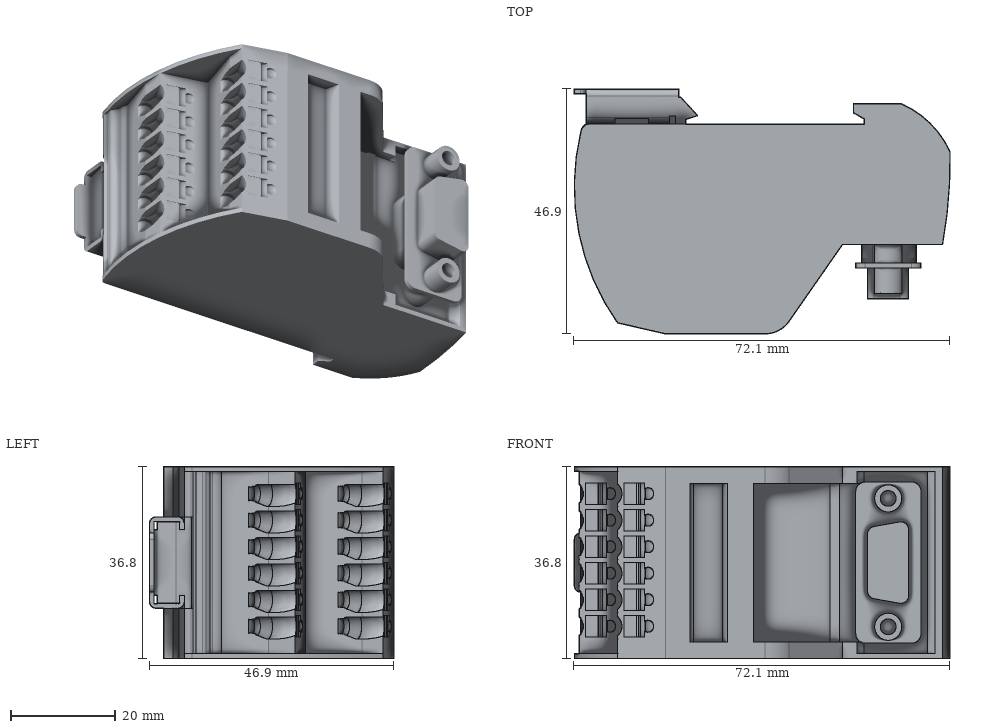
import cadquery as cq
import math


OUTSIDE_MARGIN = 1.0

WIDTH = 36.78
SIDE_WALL = 0.92
INNER_WIDTH = WIDTH - 2 * SIDE_WALL
FRONT_Y = -40.2
SHOULDER_Y = -23.1
LEFT_ARC_RADIUS = 45.2
LEFT_ARC_Y = -12.0
CORNER_Y = -1.47
CORNER_X = 2.26
FRONT_EDGE_Y = -38.1
SLOPED_FRONT_END_X = 17.5
RAMP_FOOT_X = 39.5
RAMP_TOP_X = 51.4
RAMP_FILLET = 5.6
RIGHT_X = 72.05
RIGHT_FLANK_TOP_Y = -5.3
RIGHT_FLANK_MIDDLE = (71.76, -14.3)
SHOULDER_END_X = 70.6
HOOK_TOP_Y = 3.95
HOOK_ARC_MIDDLE = (68.2, 0.2)
HOOK_ARC_END_X = 62.65
HOOK_TIP_X = 53.5
HOOK_TIP_Y = 2.18
HOOK_THROAT_X = 55.55
HOOK_THROAT_Y = 1.0
CORNER_MIDDLE = (1.6, -0.55)

STEP_PITCH_X = 7.33
STEP_PITCH_Y = -17.1
REAR_STEP_X = 0.95
REAR_STEP_Y = -21.25
STEP_ROOT_X = 10.6
STEP_ROOT_Y = -23.2
REAR_WALL_END_Y = -16.1
FRONT_WALL_END_Y = -34.1

STRIP_CORNER_X = 2.4
STRIP_CORNER_MIDDLE = (1.8, -0.5)
STRIP_CORNER_END = (1.3, -1.3)
LIP_EDGE_X = 1.22
LIP_ROOT = (1.5, -2.2)
BAND_END = (1.35, -3.47)
BAND_ROUND_MIDDLE = (1.4, -3.9)
BAND_ROUND_END = (1.6, -4.2)
LEDGE_END = (2.3, -4.93)
COVE_START = (2.4, -5.4)
COVE_MIDDLE = (2.5, -6.4)
COVE_END = (2.9, -7.1)

POLES = 6
POLE_PITCH = 5.08
POLE_OFFSET_Z = 0.5
FUNNEL_X = 1.47
FUNNEL_Y = -15.9
FUNNEL_TILT = 24.0
FUNNEL_RADIUS = 2.46
FUNNEL_TOP = 1.76
MOUTH_LENGTH = 10.0
CONE_LENGTH = 2.2
THROAT_RADIUS = 1.7
THROAT_LENGTH = 1.2
BUTTON_START = 1.25
BUTTON_END = 3.7
BUTTON_LIP_END = 4.05
LATCH_GAP_START = 4.35
BUTTON_POCKET_END = 5.3
BUTTON_HEIGHT = 4.1
BUTTON_SINK = 0.12
BUTTON_LIP_DEPTH = 0.3
LATCH_GAP_DEPTH = 0.8
LATCH_GAP_EXIT_DEPTH = 0.35
TEST_HOLE_RADIUS = 1.15
TEST_HOLE_CENTRE = 5.95
TEST_HOLE_DEPTH = 1.0

OPENING_HEIGHT = 30.4
WINDOW_X = (22.2, 29.4)
WINDOW_FLOOR_X = (22.9, 28.4)
WINDOW_DEPTH = 3.0
WINDOW_STEP = 0.3
SLOT_START_X = 34.4
RIB_X = (49.06, 50.85)
RIB_HEIGHT = 0.5
POCKET_X = (54.17, 69.14)
POCKET_FLOOR_Y = -20.8
POCKET_STEP_X = 55.55
POCKET_STEP = 0.3
POCKET_BEVEL = 1.4

FLANGE_X = (53.95, 66.45)
FLANGE_HEIGHT = 30.9
FLANGE_Y = -26.6
FLANGE_THICKNESS = 1.0
FLANGE_RADIUS = 1.8
SCREW_X = 60.17
SCREW_Z = 12.3
SCREW_RADIUS = 2.6
SCREW_BORE_RADIUS = 1.5
SCREW_END_Y = -32.4
SHELL_X = (56.2, 64.1)
SHELL_HALF_HEIGHT = 8.1
SHELL_END_Y = -33.5
REAR_SHELL_X = (55.06, 65.56)
REAR_SHELL_HALF_HEIGHT = 9.0
SHELL_TAPER = 10.0
SHELL_FILLET = 1.5
REAR_SHELL_FILLET = 2.6

CLIP_X = (CORNER_X, 20.07)
CLIP_SIDE_END_X = 18.3
CLIP_HEIGHT = 17.54
CLIP_TOP_Y = 6.7
CLIP_THICKNESS = 0.9
CLIP_BEND_RADIUS = 1.3
LIP_TOP_Y = 1.55
LIP_LENGTH = 2.44
CLIP_WINDOW_X = (7.8, 14.2)
CLIP_WINDOW_TOP_Y = 1.1
TAB_HEIGHT = 11.3
TAB_RADIUS = 1.2
BLOCK_TOP_Y = 5.2
SLIDE_TOP_X = 3.26
SLIDE_SETBACK = 0.4
SLIDE_CLEARANCE = 0.1
BLOCK_RIDGE_HEIGHT = 12.6
LATCH_SEAT_Y = -1.67
LATCH_NOTCH_Y = -1.35
NOSE_START_X = 19.36
NOSE_NECK_X = 21.4
NOSE_NECK_Y = 0.9
NOSE_TIP = (23.67, 1.64)
NOSE_TOP_X = 20.4


def prism(outline, height, centre_z=0.0):
    """Extrude a closed XY outline symmetrically about centre_z."""
    return outline.extrude(height / 2, both=True).translate((0, 0, centre_z))


def polygon(points):
    return cq.Workplane("XY").polyline(points).close()


def box(x_range, y_range, height, centre_z=0.0):
    (x0, x1), (y0, y1) = x_range, y_range
    return prism(polygon([(x0, y0), (x1, y0), (x1, y1), (x0, y1)]), height, centre_z)


def flank_x(y):
    """X of the bulged left flank at a given Y."""
    return LEFT_ARC_RADIUS - math.sqrt(LEFT_ARC_RADIUS**2 - (y - LEFT_ARC_Y) ** 2)


def front_slope(x):
    """Y of the sloped front of the front terminal block."""
    front_edge_x = flank_x(FRONT_EDGE_Y)
    rise = (FRONT_Y - FRONT_EDGE_Y) / (SLOPED_FRONT_END_X - front_edge_x)
    return FRONT_EDGE_Y + rise * (x - front_edge_x)


def make_housing():
    outline = (
        cq.Workplane("XY")
        .moveTo(CORNER_X, 0)
        .threePointArc(CORNER_MIDDLE, (flank_x(CORNER_Y), CORNER_Y))
        .threePointArc((0, LEFT_ARC_Y), (flank_x(FRONT_EDGE_Y), FRONT_EDGE_Y))
        .lineTo(SLOPED_FRONT_END_X, FRONT_Y)
        .lineTo(RAMP_FOOT_X, FRONT_Y)
        .lineTo(RAMP_TOP_X, SHOULDER_Y)
        .lineTo(SHOULDER_END_X, SHOULDER_Y)
        .threePointArc(RIGHT_FLANK_MIDDLE, (RIGHT_X, RIGHT_FLANK_TOP_Y))
        .threePointArc(HOOK_ARC_MIDDLE, (HOOK_ARC_END_X, HOOK_TOP_Y))
        .lineTo(HOOK_TIP_X, HOOK_TOP_Y)
        .lineTo(HOOK_TIP_X, HOOK_TIP_Y)
        .lineTo(HOOK_THROAT_X, HOOK_THROAT_Y)
        .lineTo(HOOK_THROAT_X, 0)
        .close()
    )
    ramp_foot = cq.selectors.NearestToPointSelector((RAMP_FOOT_X, FRONT_Y, 0))
    return prism(outline, WIDTH).edges(ramp_foot).fillet(RAMP_FILLET)


def terminal_step_cut():
    """Space between the side walls, left of the stepped terminal blocks."""
    outside_x = -OUTSIDE_MARGIN
    front_edge_x = flank_x(FRONT_EDGE_Y)
    outline = (
        cq.Workplane("XY")
        .moveTo(outside_x, 0)
        .lineTo(STRIP_CORNER_X, 0)
        .threePointArc(STRIP_CORNER_MIDDLE, STRIP_CORNER_END)
        .lineTo(LIP_EDGE_X, LATCH_SEAT_Y)
        .lineTo(*LIP_ROOT)
        .lineTo(*BAND_END)
        .threePointArc(BAND_ROUND_MIDDLE, BAND_ROUND_END)
        .lineTo(*LEDGE_END)
        .lineTo(*COVE_START)
        .threePointArc(COVE_MIDDLE, COVE_END)
        .lineTo(REAR_STEP_X, REAR_WALL_END_Y)
        .lineTo(REAR_STEP_X, REAR_STEP_Y)
        .lineTo(STEP_ROOT_X, STEP_ROOT_Y)
        .lineTo(front_edge_x, FRONT_WALL_END_Y)
        .lineTo(front_edge_x, FRONT_Y)
        .lineTo(outside_x, FRONT_Y)
        .close()
    )
    return prism(outline, INNER_WIDTH)


def funnel():
    """Wire entry about the Y axis, cone starting at the origin, then tilted into the flank."""
    mouth = cq.Workplane("XZ").circle(FUNNEL_RADIUS).extrude(MOUTH_LENGTH)
    cone = (
        cq.Workplane("XY")
        .polyline([(0, 0), (FUNNEL_RADIUS, 0), (THROAT_RADIUS, CONE_LENGTH), (0, CONE_LENGTH)])
        .close()
        .revolve(360, (0, 0, 0), (0, 1, 0))
    )
    throat = cq.Workplane("XZ").circle(THROAT_RADIUS).extrude(-CONE_LENGTH - THROAT_LENGTH)
    roofed = box(
        (-2 * FUNNEL_RADIUS, 2 * FUNNEL_RADIUS),
        (-MOUTH_LENGTH, MOUTH_LENGTH),
        FUNNEL_RADIUS + FUNNEL_TOP,
        (FUNNEL_TOP - FUNNEL_RADIUS) / 2,
    )
    tool = mouth.union(cone).union(throat).intersect(roofed)
    return tool.rotate((0, 0, 0), (0, 0, 1), -FUNNEL_TILT)


def button_recess():
    """Button and test opening; the origin is the step edge and +X runs along the sloped face."""
    above = -OUTSIDE_MARGIN
    button = box((BUTTON_START, BUTTON_END), (above, BUTTON_SINK), BUTTON_HEIGHT)
    latch_gap = prism(
        polygon([
            (BUTTON_END, above),
            (BUTTON_END, BUTTON_LIP_DEPTH),
            (BUTTON_LIP_END, BUTTON_LIP_DEPTH),
            (LATCH_GAP_START, LATCH_GAP_DEPTH),
            (BUTTON_POCKET_END, LATCH_GAP_EXIT_DEPTH),
            (BUTTON_POCKET_END, above),
        ]),
        BUTTON_HEIGHT,
    )
    hole_end = TEST_HOLE_CENTRE + TEST_HOLE_RADIUS
    ramp = prism(
        polygon([
            (BUTTON_POCKET_END, above),
            (BUTTON_POCKET_END, TEST_HOLE_DEPTH),
            (hole_end, 0),
            (hole_end, above),
        ]),
        BUTTON_HEIGHT,
    )
    test_hole = (
        cq.Workplane("XZ", origin=(TEST_HOLE_CENTRE, above, 0))
        .circle(TEST_HOLE_RADIUS)
        .extrude(-TEST_HOLE_DEPTH - OUTSIDE_MARGIN)
        .intersect(ramp)
    )
    return button.union(latch_gap).union(test_hole)


def cut_terminals(body):
    slope = math.degrees(math.atan2(FRONT_Y - FRONT_EDGE_Y, SLOPED_FRONT_END_X - flank_x(FRONT_EDGE_Y)))
    rear_slope = math.degrees(math.atan2(STEP_ROOT_Y - REAR_STEP_Y, STEP_ROOT_X - REAR_STEP_X))
    front_edge_x = REAR_STEP_X + STEP_PITCH_X
    columns = [
        (0, (REAR_STEP_X, REAR_STEP_Y), rear_slope),
        (1, (front_edge_x, front_slope(front_edge_x)), slope),
    ]
    entry = funnel()
    recess = button_recess()
    for column, (edge_x, edge_y), angle in columns:
        funnel_x = FUNNEL_X + column * STEP_PITCH_X
        funnel_y = FUNNEL_Y + column * STEP_PITCH_Y
        tilted_recess = recess.rotate((0, 0, 0), (0, 0, 1), angle)
        for pole in range(POLES):
            z = POLE_OFFSET_Z + (pole - (POLES - 1) / 2) * POLE_PITCH
            body = body.cut(entry.translate((funnel_x, funnel_y, z)))
            body = body.cut(tilted_recess.translate((edge_x, edge_y, z)))
    return body


def window_cut():
    floor_y = FRONT_Y + WINDOW_DEPTH
    return prism(
        polygon([
            (WINDOW_X[0], FRONT_Y),
            (WINDOW_X[1], FRONT_Y),
            (WINDOW_FLOOR_X[1], floor_y),
            (WINDOW_FLOOR_X[0], floor_y),
            (WINDOW_FLOOR_X[0], floor_y - WINDOW_STEP),
            (WINDOW_X[0], floor_y - WINDOW_STEP),
        ]),
        OPENING_HEIGHT,
    )


def connector_bay_cut():
    """Slot through the ramp and the wider pocket behind the connector."""
    slot = box((SLOT_START_X, POCKET_STEP_X), (FRONT_Y, POCKET_FLOOR_Y), OPENING_HEIGHT)
    rib = box(RIB_X, (POCKET_FLOOR_Y - RIB_HEIGHT, POCKET_FLOOR_Y), OPENING_HEIGHT)
    step_y = POCKET_FLOOR_Y - POCKET_STEP
    pocket = prism(
        polygon([
            (POCKET_X[0], SHOULDER_Y),
            (POCKET_X[1], SHOULDER_Y),
            (POCKET_X[1] - POCKET_BEVEL, SHOULDER_Y + POCKET_BEVEL),
            (POCKET_X[1] - POCKET_BEVEL, POCKET_FLOOR_Y),
            (POCKET_STEP_X, POCKET_FLOOR_Y),
            (POCKET_STEP_X, step_y),
            (POCKET_X[0], step_y),
        ]),
        INNER_WIDTH,
    )
    return slot.cut(rib).union(pocket)


def shell(x_range, half_height, start_y, end_y, fillet):
    """D-shaped block from start_y down to end_y."""
    left, right = x_range
    short_half = half_height - (right - left) * math.tan(math.radians(SHELL_TAPER))
    outline = [(left, -short_half), (right, -half_height), (right, half_height), (left, short_half)]
    block = cq.Workplane("XZ", origin=(0, start_y, 0)).polyline(outline).close().extrude(start_y - end_y)
    return block.edges("|Y").fillet(fillet)


def make_connector():
    flange = box(FLANGE_X, (FLANGE_Y - FLANGE_THICKNESS, FLANGE_Y), FLANGE_HEIGHT)
    flange = flange.edges("|Y").fillet(FLANGE_RADIUS)
    rear = shell(REAR_SHELL_X, REAR_SHELL_HALF_HEIGHT, POCKET_FLOOR_Y, FLANGE_Y, REAR_SHELL_FILLET)
    front = shell(SHELL_X, SHELL_HALF_HEIGHT, FLANGE_Y, SHELL_END_Y, SHELL_FILLET)
    connector = flange.union(rear).union(front)
    for z in (-SCREW_Z, SCREW_Z):
        sleeve = (
            cq.Workplane("XZ", origin=(SCREW_X, POCKET_FLOOR_Y, z))
            .circle(SCREW_RADIUS)
            .extrude(POCKET_FLOOR_Y - SCREW_END_Y)
        )
        bore = (
            cq.Workplane("XZ", origin=(SCREW_X, FLANGE_Y - FLANGE_THICKNESS, z))
            .circle(SCREW_BORE_RADIUS)
            .extrude(FLANGE_Y - FLANGE_THICKNESS - SCREW_END_Y)
        )
        connector = connector.union(sleeve).cut(bore)
    return connector


def latch_notch():
    """Stepped flat in the bevelled housing corner, in front of the latch."""
    outside_x = -OUTSIDE_MARGIN
    flat = box((outside_x, CLIP_X[0]), (LATCH_SEAT_Y, 0), CLIP_HEIGHT)
    deep = box((outside_x, CLIP_X[0] + SLIDE_SETBACK), (LATCH_NOTCH_Y, 0), CLIP_HEIGHT)
    return flat.union(deep)


def make_clip():
    """Sheet-metal channel that wraps the latch block, with a pull tab."""
    inner_y = CLIP_TOP_Y - CLIP_THICKNESS
    inner_height = CLIP_HEIGHT - 2 * CLIP_THICKNESS
    channel = box(CLIP_X, (0, CLIP_TOP_Y), CLIP_HEIGHT).edges("|X").fillet(CLIP_BEND_RADIUS)
    channel = channel.cut(box(CLIP_X, (CLIP_THICKNESS, inner_y), inner_height))
    channel = channel.cut(box(CLIP_X, (0, CLIP_THICKNESS), CLIP_HEIGHT - 2 * LIP_LENGTH))
    side_end = box((CLIP_SIDE_END_X, CLIP_X[1]), (0, LIP_TOP_Y), CLIP_HEIGHT)
    side_window = box(CLIP_WINDOW_X, (0, CLIP_WINDOW_TOP_Y), CLIP_HEIGHT)
    tab = box((0, CLIP_X[0]), (inner_y, CLIP_TOP_Y), TAB_HEIGHT).edges("|Y and <X").fillet(TAB_RADIUS)
    return channel.cut(side_end).cut(side_window).union(tab)


def make_latch_block():
    """Plastic slide inside the clip, ending in the hook nose."""
    slide_height = CLIP_HEIGHT - 2 * (CLIP_THICKNESS + SLIDE_CLEARANCE)
    slide_x = CLIP_X[0] + SLIDE_SETBACK
    slide = prism(
        polygon([
            (slide_x, 0),
            (slide_x, LIP_TOP_Y),
            (SLIDE_TOP_X, BLOCK_TOP_Y),
            (NOSE_START_X, BLOCK_TOP_Y),
            (NOSE_START_X, 0),
        ]),
        slide_height,
    )
    ridge_y = (BLOCK_TOP_Y, CLIP_TOP_Y - CLIP_THICKNESS)
    ridge = box((SLIDE_TOP_X, NOSE_START_X), ridge_y, BLOCK_RIDGE_HEIGHT)
    nose = prism(
        polygon([
            (NOSE_START_X, 0),
            (NOSE_NECK_X, 0),
            (NOSE_NECK_X, NOSE_NECK_Y),
            NOSE_TIP,
            (NOSE_TOP_X, BLOCK_TOP_Y),
            (NOSE_START_X, BLOCK_TOP_Y),
        ]),
        CLIP_HEIGHT,
    )
    return slide.union(ridge).union(nose)


body = make_housing().cut(terminal_step_cut())
body = body.cut(latch_notch())
body = cut_terminals(body)
body = body.cut(window_cut()).cut(connector_bay_cut())
result = body.union(make_connector()).union(make_clip()).union(make_latch_block())